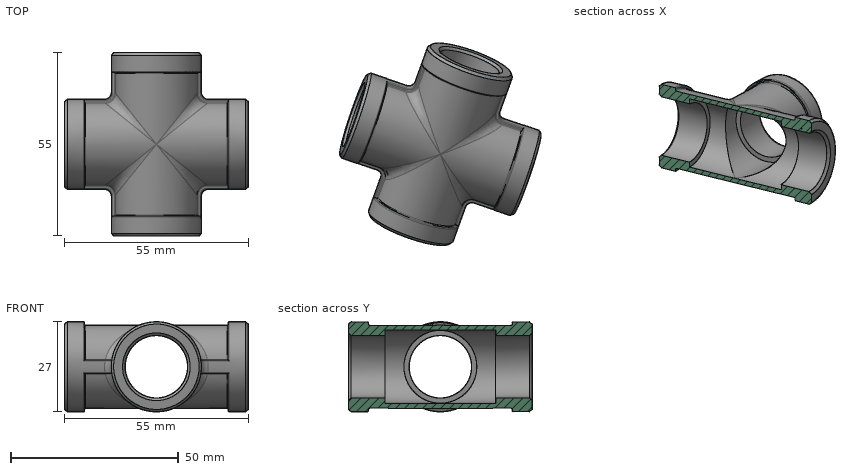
import cadquery as cq
import math

length = 55.0
collar_diameter = 27.0
tube_diameter = 25.0
collar_length = 6.0
half_length = length / 2
collar_wall_position = half_length - collar_length

inner_overlap = 2.5
inner_half_span = collar_wall_position + inner_overlap

bore_diameter = 18.63
bore_depth = 11.0
chamber_diameter = 21.8
chamber_half_span = half_length - bore_depth

mouth_diameter = 20.24
countersink_depth = 0.8

rim_bevel_length = 0.87
rim_bevel_height = 0.72

rib_thickness = 4.0
rib_corner_radius = 2.0

edge_radius = 0.3

tube_corner_radius = rib_corner_radius + (collar_diameter - tube_diameter) / 2

tolerance = 0.001

end_angles = [0, 90, 180, 270]


def same(a, b):
    """True for two coordinates that agree within the tolerance."""
    return math.isclose(a, b, abs_tol=tolerance)


def revolved_end(half_profile, angle):
    """Revolve a (distance from centre, radius) profile about X, then turn it to one end."""
    solid = cq.Workplane("XY").polyline(half_profile).close().revolve(360, (0, 0), (1, 0))
    return solid.rotate((0, 0, 0), (0, 0, 1), angle)


def crossed_cylinders(diameter, half_span):
    """Two equal cylinders crossing at the origin, each reaching half_span both ways."""
    along_x = cq.Workplane("YZ").circle(diameter / 2).extrude(half_span, both=True)
    along_y = along_x.rotate((0, 0, 0), (0, 0, 1), 90)
    return along_x.union(along_y)


def is_corner_edge(edge):
    """True for off-centre edges in the vertical planes x = y and x = -y."""
    middle = edge.Center()
    return same(abs(middle.x), abs(middle.y)) and abs(middle.x) > tolerance


def round_corners(body, radius):
    """Round the corner edges where the two crossing cylinders meet."""
    corner_edges = [edge for edge in body.edges().vals() if is_corner_edge(edge)]
    return body.newObject(corner_edges).fillet(radius)


def make_tubes():
    return round_corners(crossed_cylinders(tube_diameter, inner_half_span), tube_corner_radius)


def make_ribs():
    """Middle slab of a collar-sized cross, which leaves a rib around each corner."""
    slab = cq.Workplane().box(length, length, rib_thickness)
    cross = crossed_cylinders(collar_diameter, inner_half_span)
    return round_corners(cross.intersect(slab), rib_corner_radius)


def make_collar(plane, side):
    """Plain collar at one end of the axis normal to the plane; side is 1 or -1."""
    end_plane = cq.Workplane(plane).workplane(offset=side * half_length)
    collar = end_plane.circle(collar_diameter / 2).extrude(-side * collar_length)
    return collar.rotate((0, 0, 0), end_plane.plane.zDir.toTuple(), 90)


def make_rim_bevel(angle):
    """Ring cutter that bevels the outer rim of one collar."""
    radius = collar_diameter / 2
    profile = [
        (half_length - rim_bevel_length, radius),
        (half_length - rim_bevel_length, radius + rim_bevel_height),
        (half_length, radius + rim_bevel_height),
        (half_length, radius - rim_bevel_height),
    ]
    return revolved_end(profile, angle)


def make_countersink(angle):
    """Cutter that widens the bore towards the mouth of one end."""
    profile = [
        (half_length - countersink_depth, 0),
        (half_length - countersink_depth, bore_diameter / 2),
        (half_length, mouth_diameter / 2),
        (half_length, 0),
    ]
    return revolved_end(profile, angle)


def is_step_edge(edge):
    """True for edges along the rib sides or the collar walls, but not the short edges between them."""
    middle = edge.Center()
    on_rib_side = same(abs(middle.z), rib_thickness / 2)
    on_collar_wall = same(max(abs(middle.x), abs(middle.y)), collar_wall_position)
    return on_rib_side != on_collar_wall


def round_steps(body):
    """Round the outer and inner edges of the step between the tubes and the raised parts."""
    step_edges = [edge for edge in body.edges().vals() if is_step_edge(edge)]
    return body.newObject(step_edges).fillet(edge_radius)


body = make_tubes().union(make_ribs())
for plane in ("YZ", "XZ"):
    for side in (1, -1):
        body = body.union(make_collar(plane, side))
body = round_steps(body)

body = body.cut(crossed_cylinders(bore_diameter, half_length))
body = body.cut(crossed_cylinders(chamber_diameter, chamber_half_span))

for angle in end_angles:
    body = body.cut(make_countersink(angle))
    body = body.cut(make_rim_bevel(angle))

result = body